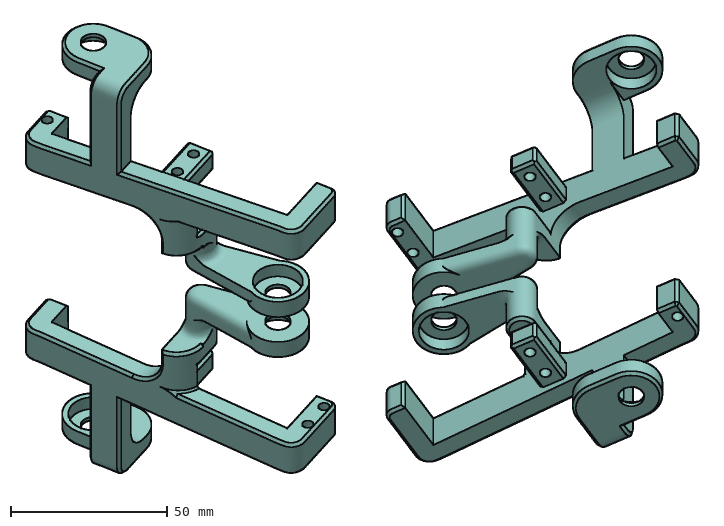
import cadquery as cq
import math


length = 103.2
half_height = 82.3
gap_half = 5.3
plate = 7.0
edge = 1.0
corner_radius = 5.0

pivot_y = 17.0
lug_radius = 10.0
lug_thick = 6.5
bore_dia = 8.2
bearing_dia = 16.0
bearing_depth = 5.0
pivot_inset = 17.15
upper_pivot_x = pivot_inset
lower_pivot_x = length - pivot_inset

beam_height = 12.95
beam_low = 33.6
beam_rise = 5.3
arm_width = 7.6
beam_slope = beam_rise / (length - 2 * arm_width)
beam_angle = math.atan(beam_slope)
left_reach = 17.25
right_reach = 26.2
tip_radius = 3.0

middle_left = 46.8
middle_width = 9.5
middle_low = 38.5
middle_high = beam_low + beam_height
middle_reach = pivot_y + lug_radius

screw_dia = 3.6
screw_depth = 8.0
screw_inset = 2.95
screw_pitch = 10.0
screw_y = pivot_y - screw_pitch / 2

stem_left = 25.6
stem_right = 37.2
stem_inner_radius = 8.5

neck_left = 52.4
post_radius = 5.0
post_x = neck_left + post_radius
neck_right = neck_left + 2 * post_radius
neck_low = 20.5
bar_thick = 7.0
bar_high = neck_low + bar_thick
neck_corner_radius = neck_right - neck_left
web_radius = 10.0
foot_fillet = 3.0
post_top = neck_low - foot_fillet
arm_join_x = 81.4


def beam_bottom(x):
    """Height of the sloping underside between the two arms."""
    return beam_low + (x - arm_width) * beam_slope


def make_crossbeam():
    """Sloping U-shaped beam with a short arm on the left and a long one on the right."""
    middle = length / 2
    plan = (
        cq.Workplane("XY")
        .moveTo(corner_radius, 0)
        .lineTo(length - corner_radius, 0)
        .radiusArc((length, corner_radius), -corner_radius)
        .lineTo(length, right_reach - tip_radius)
        .radiusArc((length - tip_radius, right_reach), -tip_radius)
        .lineTo(middle, right_reach)
        .lineTo(middle, left_reach)
        .lineTo(0, left_reach)
        .lineTo(0, corner_radius)
        .radiusArc((corner_radius, 0), -corner_radius)
        .close()
        .extrude(half_height)
    )
    right_low = beam_low + beam_rise
    right_start = length - arm_width
    slab = (
        cq.Workplane("XZ")
        .moveTo(0, beam_low)
        .lineTo(arm_width, beam_low)
        .lineTo(right_start, right_low)
        .lineTo(length, right_low)
        .lineTo(length, right_low + beam_height)
        .lineTo(right_start, right_low + beam_height)
        .lineTo(arm_width, beam_low + beam_height)
        .lineTo(0, beam_low + beam_height)
        .close()
        .extrude(-right_reach)
    )
    beam = plan.intersect(slab)
    beam = beam.edges("|Z").edges("<X").edges(">Y").chamfer(edge)
    bends = [
        e for e in beam.edges("|Y").vals()
        if min(abs(e.Center().x - arm_width), abs(e.Center().x - right_start)) < edge
    ]
    rims = beam.edges("not |Z").vals()
    rims = [e for e in rims if not any(e.isSame(bend) for bend in bends)]
    beam = beam.newObject(rims).chamfer(edge)
    inside = cq.Workplane("XY").box(
        length - 2 * arm_width, right_reach, half_height, centered=False
    ).translate((arm_width, plate, 0))
    beam = beam.cut(inside)
    return beam.edges("|Z").edges(">Y").edges("<X").chamfer(edge)


def make_middle_arm():
    """Level block behind the crossbeam, with every free edge chamfered."""
    arm = (
        cq.Workplane("XY")
        .box(middle_width, middle_reach - plate, middle_high - middle_low, centered=False)
        .translate((middle_left, plate, middle_low))
    )
    return arm.faces(">Y").edges().chamfer(edge).edges("|Y").chamfer(edge)


def make_stem():
    """Upright stem bending back into the upper pivot lug."""
    lug_low = half_height - lug_thick
    right_center = stem_right - lug_radius
    lug = (
        cq.Workplane("XY")
        .moveTo(stem_left, corner_radius)
        .lineTo(stem_right, corner_radius)
        .lineTo(stem_right, pivot_y)
        .radiusArc((right_center, pivot_y + lug_radius), -lug_radius)
        .lineTo(upper_pivot_x, pivot_y + lug_radius)
        .threePointArc(
            (upper_pivot_x - lug_radius, pivot_y), (upper_pivot_x, pivot_y - lug_radius)
        )
        .lineTo(stem_left, plate)
        .close()
        .extrude(lug_thick)
        .translate((0, 0, lug_low))
    )
    stem = (
        cq.Workplane("YZ")
        .moveTo(0, beam_low + beam_height / 2)
        .lineTo(plate, beam_low + beam_height / 2)
        .lineTo(plate, lug_low - stem_inner_radius)
        .radiusArc((plate + stem_inner_radius, lug_low), stem_inner_radius)
        .lineTo(plate + stem_inner_radius, half_height)
        .lineTo(corner_radius, half_height)
        .radiusArc((0, half_height - corner_radius), -corner_radius)
        .close()
        .extrude(stem_right - stem_left)
        .translate((stem_left, 0, 0))
    )
    body = stem.union(lug)
    front = body.faces("<Y").edges("|Z")
    bend = body.edges(cq.selectors.BoxSelector(
        (stem_left - edge, -edge, half_height - corner_radius),
        (stem_right + edge, corner_radius - edge, half_height + edge),
    )).edges("not(|X)")
    body = body.newObject(front.vals() + bend.vals() + body.faces(">Z").edges("not(<Y)").vals())
    return body.chamfer(edge)


def front_edges(neck):
    """Front edge of the web arc and the upright edge below it."""
    reach = 0.01
    web = cq.selectors.BoxSelector(
        (neck_left - web_radius, -reach, neck_low), (neck_left + reach, reach, beam_bottom(neck_left)))
    side = cq.selectors.BoxSelector(
        (neck_left - reach, -reach, neck_low), (neck_left + reach, reach, bar_high))
    return neck.edges("%CIRCLE").edges(web).vals() + neck.edges("|Z").edges(side).vals()


def make_corner_bevel():
    """Cutter that chamfers the bottom edge of the rounded front corner."""
    ring = (
        cq.Workplane("XZ")
        .moveTo(neck_corner_radius - edge, 0)
        .lineTo(neck_corner_radius + edge, 0)
        .lineTo(neck_corner_radius + edge, 2 * edge)
        .close()
        .revolve(360, (0, 0, 0), (0, 1, 0))
        .translate((neck_left, neck_corner_radius, neck_low))
    )
    front = cq.Workplane("XY").box(
        length, neck_corner_radius + edge, half_height, centered=False
    ).translate((0, -edge, 0))
    return ring.intersect(front)


def make_bar_undercut():
    """Cutter under the bar that leaves the post with a concave fillet at its top."""
    return (
        cq.Workplane("XZ")
        .moveTo(post_radius, 0)
        .radiusArc((post_radius + foot_fillet, foot_fillet), foot_fillet)
        .lineTo(2 * pivot_y, foot_fillet)
        .lineTo(2 * pivot_y, 0)
        .close()
        .revolve(180, (0, 0, 0), (0, -1, 0))
        .translate((post_x, pivot_y, post_top))
    )


def make_neck_collar():
    """Flared bevel where the rounded front corner runs into the beam underside."""
    axis_z = beam_bottom(post_x)
    flare = (
        cq.Workplane("XZ")
        .moveTo(0, -edge)
        .lineTo(neck_corner_radius, -edge)
        .lineTo(neck_corner_radius + 2 * edge, edge)
        .lineTo(0, edge)
        .close()
        .revolve(360, (0, 0, 0), (0, 1, 0))
        .rotate((0, 0, 0), (0, 1, 0), -math.degrees(beam_angle))
        .translate((neck_left, neck_corner_radius, axis_z))
    )
    keep = cq.Workplane("XY").box(
        neck_corner_radius + edge, plate, half_height, centered=False
    ).translate((neck_left, 0, 0))
    return flare.intersect(keep)


def make_neck():
    """Neck hanging from the crossbeam, with a bar reaching back to the post."""
    web_x = neck_left - web_radius
    web_z = beam_bottom(web_x) - web_radius / math.cos(beam_angle)
    web_start_x = web_x - web_radius * math.sin(beam_angle)
    web_start = (web_start_x, beam_bottom(web_start_x))
    half_turn = (math.pi / 2 + beam_angle) / 2
    web_middle = (web_x + web_radius * math.cos(half_turn), web_z + web_radius * math.sin(half_turn))
    plate_part = (
        cq.Workplane("XZ")
        .moveTo(*web_start)
        .threePointArc(web_middle, (neck_left, web_z))
        .lineTo(neck_left, neck_low)
        .lineTo(neck_right, neck_low)
        .lineTo(neck_right, beam_bottom(neck_right) + 2 * edge)
        .lineTo(web_start[0], web_start[1] + 2 * edge)
        .close()
        .extrude(-plate)
    )
    bar = (
        cq.Workplane("XY")
        .moveTo(neck_left, 0)
        .lineTo(neck_right, 0)
        .lineTo(neck_right, pivot_y)
        .threePointArc((post_x, pivot_y + post_radius), (neck_left, pivot_y))
        .close()
        .extrude(bar_high - post_top)
        .translate((0, 0, post_top))
        .faces(">Z").edges("not(<Y)").chamfer(edge)
    )
    corner = (
        cq.Workplane("XY")
        .moveTo(neck_left, 0)
        .threePointArc(
            (
                neck_left + neck_corner_radius * math.sin(math.pi / 4),
                neck_corner_radius * (1 - math.cos(math.pi / 4)),
            ),
            (neck_right, neck_corner_radius),
        )
        .lineTo(neck_right, 0)
        .close()
        .extrude(half_height)
    )
    neck = plate_part.union(bar).cut(corner)
    neck = neck.cut(make_bar_undercut())
    neck = neck.newObject(front_edges(neck)).chamfer(edge)
    return neck.cut(make_corner_bevel()).union(make_neck_collar())


def make_arm_flare():
    """Concave fillet around the foot of the post, standing on Z = 0."""
    return (
        cq.Workplane("XZ")
        .moveTo(0, 0)
        .lineTo(post_radius + foot_fillet, 0)
        .radiusArc((post_radius, foot_fillet), foot_fillet)
        .lineTo(0, foot_fillet)
        .close()
        .revolve(360, (0, 0, 0), (0, 1, 0))
    )


def make_foot():
    """Post and tapered arm that carry the lower pivot lug."""
    arm_high = gap_half + lug_thick
    join_y = math.sqrt(lug_radius ** 2 - (lower_pivot_x - arm_join_x) ** 2)
    reach = arm_join_x - post_x
    taper = math.atan2(join_y, reach) - math.asin(post_radius / math.hypot(reach, join_y))
    tangent_x = post_x - post_radius * math.sin(taper)
    tangent_y = post_radius * math.cos(taper)
    footprint = (
        cq.Workplane("XY")
        .moveTo(tangent_x, pivot_y - tangent_y)
        .lineTo(arm_join_x, pivot_y - join_y)
        .lineTo(lower_pivot_x, pivot_y - join_y)
        .lineTo(lower_pivot_x, pivot_y + join_y)
        .lineTo(arm_join_x, pivot_y + join_y)
        .lineTo(tangent_x, pivot_y + tangent_y)
        .threePointArc((neck_left, pivot_y), (tangent_x, pivot_y - tangent_y))
        .close()
        .extrude(lug_thick)
    )
    arm = footprint.translate((0, 0, gap_half))
    arm = arm.faces("<Z").edges("not(>X)").fillet(foot_fillet)
    post_low = gap_half + foot_fillet
    post = (
        cq.Workplane("XY")
        .center(post_x, pivot_y)
        .circle(post_radius)
        .extrude(post_top - post_low)
        .translate((0, 0, post_low))
    )
    lug = (
        cq.Workplane("XY")
        .center(lower_pivot_x, pivot_y)
        .circle(lug_radius)
        .extrude(lug_thick)
        .translate((0, 0, gap_half))
    )
    arm_blend = make_arm_flare().translate((post_x, pivot_y, 0)).intersect(footprint)
    return arm.union(post).union(lug).union(arm_blend.translate((0, 0, arm_high)))


def hole(x, y, z_start, depth, diameter):
    """Vertical drill body rising from z_start."""
    return cq.Workplane("XY").center(x, y).circle(diameter / 2).extrude(depth).translate((0, 0, z_start))


def make_bracket():
    """Upper bracket: all its features joined, then drilled."""
    bracket = make_crossbeam().union(make_stem()).union(make_neck())
    bracket = bracket.union(make_foot()).union(make_middle_arm())

    bracket = bracket.cut(hole(upper_pivot_x, pivot_y, half_height - lug_thick, lug_thick, bore_dia))
    bracket = bracket.cut(hole(upper_pivot_x, pivot_y, half_height - lug_thick, bearing_depth, bearing_dia))
    bracket = bracket.cut(hole(lower_pivot_x, pivot_y, gap_half, lug_thick, bore_dia))
    seat_floor = gap_half + lug_thick - bearing_depth
    bracket = bracket.cut(hole(lower_pivot_x, pivot_y, seat_floor, bearing_depth, bearing_dia))

    left_top = beam_low + beam_height
    bracket = bracket.cut(hole(screw_inset, screw_y, left_top - screw_depth, 2 * screw_depth, screw_dia))
    right_x = length - screw_inset
    middle_x = middle_left + middle_width / 2
    right_low = beam_low + beam_rise
    for y in (screw_y, screw_y + screw_pitch):
        bracket = bracket.cut(hole(right_x, y, right_low - screw_depth, 2 * screw_depth, screw_dia))
        bracket = bracket.cut(hole(middle_x, y, middle_low, middle_high - middle_low, screw_dia))
    return bracket


upper_bracket = make_bracket()
lower_bracket = upper_bracket.mirror("XY")
result = cq.Compound.makeCompound([upper_bracket.val(), lower_bracket.val()])